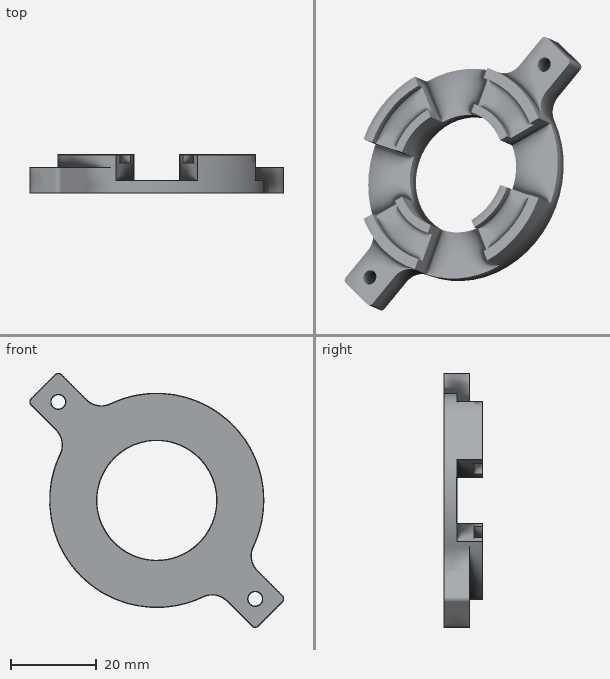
import cadquery as cq
import math

RING_RADIUS = 25.0
BORE_RADIUS = 14.0
RING_THICKNESS = 3.0

TOTAL_DEPTH = 9.0
SECTOR_COUNT = 4
SECTOR_ANGLE = 45.0
SECTOR_PITCH = 360.0 / SECTOR_COUNT
GAP_ANGLE = SECTOR_PITCH - SECTOR_ANGLE

GROOVE_INNER_RADIUS = 16.0
GROOVE_OUTER_RADIUS = 22.5
GROOVE_DEPTH = 2.0

TAB_DIRECTIONS = (135.0, 315.0)
TAB_WIDTH = 10.0
TAB_REACH = 37.5
TAB_THICKNESS = 6.0
TAB_CORNER_RADIUS = 1.0
TAB_ROOT_RADIUS = 5.0
TAB_HOLE_DIAMETER = 3.4
TAB_HOLE_DISTANCE = TAB_REACH - TAB_WIDTH / 2


def sketch_plane(depth):
    """XZ workplane at Y = depth; its normal points to -Y."""
    return cq.Workplane("XZ", origin=(0, depth, 0))


def polar(radius, degrees):
    angle = math.radians(degrees)
    return (radius * math.cos(angle), radius * math.sin(angle))


def annulus(inner_radius, outer_radius, front, back):
    """Round band between two radii, from Y = front to Y = back."""
    return sketch_plane(back).circle(outer_radius).circle(inner_radius).extrude(back - front)


def sector_gap(direction):
    """Wedge from the ring axis that separates two neighbouring sectors down to the ring."""
    start = direction - GAP_ANGLE / 2
    end = direction + GAP_ANGLE / 2
    corner_radius = 2 * RING_RADIUS
    return (
        sketch_plane(TOTAL_DEPTH)
        .polyline([(0, 0), polar(corner_radius, start), polar(corner_radius, end)])
        .close()
        .extrude(TOTAL_DEPTH - RING_THICKNESS)
    )


def mounting_tab(direction):
    """Tab drawn along +X with fillets blending into the ring, then turned to its direction."""
    half_width = TAB_WIDTH / 2
    root_center_distance = RING_RADIUS + TAB_ROOT_RADIUS
    root_center_z = half_width + TAB_ROOT_RADIUS
    root_center_x = math.sqrt(root_center_distance**2 - root_center_z**2)
    ring_share = RING_RADIUS / root_center_distance
    ring_touch_x = root_center_x * ring_share
    ring_touch_z = root_center_z * ring_share
    tab = (
        sketch_plane(TAB_THICKNESS)
        .moveTo(ring_touch_x, ring_touch_z)
        .radiusArc((root_center_x, half_width), -TAB_ROOT_RADIUS)
        .lineTo(TAB_REACH, half_width)
        .lineTo(TAB_REACH, -half_width)
        .lineTo(root_center_x, -half_width)
        .radiusArc((ring_touch_x, -ring_touch_z), -TAB_ROOT_RADIUS)
        .close()
        .extrude(TAB_THICKNESS)
        .edges("|Y and >X")
        .fillet(TAB_CORNER_RADIUS)
    )
    return tab.rotate((0, 0, 0), (0, -1, 0), direction)


def tab_hole(direction):
    return (
        sketch_plane(TAB_THICKNESS)
        .center(*polar(TAB_HOLE_DISTANCE, direction))
        .circle(TAB_HOLE_DIAMETER / 2)
        .extrude(TAB_THICKNESS)
    )


body = annulus(BORE_RADIUS, RING_RADIUS, 0, TOTAL_DEPTH)
body = body.cut(annulus(GROOVE_INNER_RADIUS, GROOVE_OUTER_RADIUS, TOTAL_DEPTH - GROOVE_DEPTH, TOTAL_DEPTH))

for gap_index in range(SECTOR_COUNT):
    body = body.cut(sector_gap(gap_index * SECTOR_PITCH))

for tab_direction in TAB_DIRECTIONS:
    body = body.union(mounting_tab(tab_direction))
    body = body.cut(tab_hole(tab_direction))

result = body